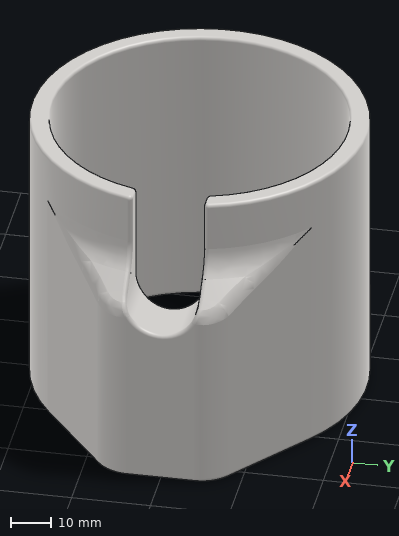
import cadquery as cq
import math

height = 75.0
bore_radius = 37.5
outer_radius = 42.5
edge_round = 1.0

boss_reach = 51.5
flank_tangent_x = 26.2
boss_corner_radius = 10.15

shoulder_top = 62.0
shoulder_round = 10.0
shoulder_edge_round = 5.0
cone_angle = math.radians(45)
shoulder_limit = 65.8

slot_width = 18.05
slot_axis_height = 50.8
margin = 0.1


def make_boss():
    """Solid wedge whose flanks touch the sleeve, with rounded outer corners."""
    tangent_y = math.sqrt(outer_radius**2 - flank_tangent_x**2)
    corner_y = tangent_y - (boss_reach - flank_tangent_x) * flank_tangent_x / tangent_y
    wedge = (
        cq.Workplane("XY")
        .moveTo(flank_tangent_x, tangent_y)
        .lineTo(boss_reach, corner_y)
        .lineTo(boss_reach, -corner_y)
        .lineTo(flank_tangent_x, -tangent_y)
        .close()
        .extrude(shoulder_top)
    )
    return wedge.edges("|Z and >X").fillet(boss_corner_radius)


def make_shoulder_envelope():
    """Turned body that limits the top of the boss."""
    def round_point(angle):
        radius = outer_radius + shoulder_round * (1 - math.cos(angle))
        return radius, shoulder_top - shoulder_round * math.sin(angle)

    cone_start = round_point(cone_angle)
    cone_drop = (shoulder_limit - cone_start[0]) * math.tan(cone_angle)
    return (
        cq.Workplane("XZ")
        .lineTo(shoulder_limit, 0)
        .lineTo(shoulder_limit, cone_start[1] - cone_drop)
        .lineTo(*cone_start)
        .threePointArc(round_point(cone_angle / 2), (outer_radius, shoulder_top))
        .lineTo(0, shoulder_top)
        .close()
        .revolve(360, (0, 0, 0), (0, 1, 0))
    )


def make_slot():
    """Cutter for the slot, open at the top of the sleeve."""
    half_width = slot_width / 2
    return (
        cq.Workplane("YZ")
        .moveTo(-half_width, height)
        .lineTo(-half_width, slot_axis_height)
        .threePointArc((0, slot_axis_height - half_width), (half_width, slot_axis_height))
        .lineTo(half_width, height)
        .close()
        .extrude(shoulder_limit)
    )


boss = make_boss().intersect(make_shoulder_envelope())

ridge_zone = cq.selectors.BoxSelector(
    (flank_tangent_x, -outer_radius, 0),
    (shoulder_limit, outer_radius, shoulder_top),
)
ridge = boss.edges(ridge_zone).edges("(not #Z) and (not |Z)").edges("not %CIRCLE")
boss = ridge.fillet(shoulder_edge_round)

sleeve = cq.Workplane("XY").circle(outer_radius).extrude(height)
body = sleeve.union(boss).cut(cq.Workplane("XY").circle(bore_radius).extrude(height))
body = body.faces("<Z").edges().fillet(edge_round)
body = body.cut(make_slot())

slot_zone = cq.selectors.BoxSelector(
    (0, -slot_width / 2 - margin, slot_axis_height - slot_width),
    (shoulder_limit, slot_width / 2 + margin, height + margin),
    boundingbox=True,
)
rim = body.faces(">Z").edges()
slot_edges = body.edges(slot_zone)
result = rim.add(slot_edges).fillet(edge_round)